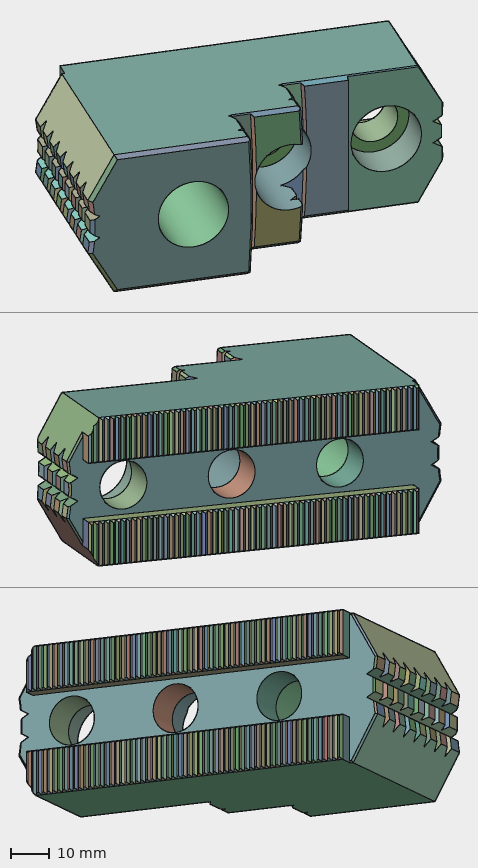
import cadquery as cq
import math

depth = 54.0
length = 103.8
height = 40.0
half_length = length / 2
half_height = height / 2
clearance = 10.4

back_x = 4.9
grip_half_height = 7.7
grip_radius = 46.7
bevel_angle = math.radians(30)
bevel_inset = (half_height - grip_half_height) * math.tan(bevel_angle)
grip_axis_y = half_length + math.sqrt(grip_radius**2 - grip_half_height**2)
back_chamfer = 0.5
front_chamfer = 1.0

long_vee_z = 3.1
long_vee_tip_y = 49.0
long_vee_angle = math.radians(30)
cross_vee_depth = 1.7
cross_vee_half_width = 1.2
near_vee_start, near_vee_end, near_vee_count = 11.0, 47.0, 7
cross_vee_pitch = (near_vee_end - near_vee_start) / (near_vee_count - 1)
far_vee_start, far_vee_count = 10.0, 3

outer_wall_x = 41.1
inner_wall_x = 28.1
outer_step_y = -7.5
inner_step_y = 10.0
crown_radius = 280.3
step_chamfer = 0.67
step_corner = 0.6
ramp_run = 3.3
ramp_drop = 1.9
wall_relief = 0.7
relief_height = 3.9
step_vee_setback = 5.1
step_vee_depth = 1.8
step_vee_half_width = 0.9
upper_relief_y = 25.9
end_corner_x, end_corner_y = 0.8, 0.5

rail_inner_z = 7.9
rail_chamfer_x, rail_chamfer_z = 0.9, 0.5
rail_far_y = 47.5
rail_near_y = -44.0
root_count = 62
serration_pitch = (rail_far_y - rail_near_y) / (root_count - 1)
serration_tip = 0.4
serration_angle = math.radians(30)
serration_half_width = (serration_pitch - serration_tip) / 2
serration_depth = serration_half_width / math.tan(serration_angle)

hole_diameter = 13.0
counterbore_diameter = 19.0
counterbore_floor_x = 16.0
hole_pitch = 30.0
middle_hole_y = 6.3


def end_section(start_x, end_x):
    """Block cross-section in the YZ plane, extruded along X."""
    shoulder_y = half_length - bevel_inset
    grip_middle_y = grip_axis_y - grip_radius
    return (
        cq.Workplane("YZ", origin=(start_x, 0, 0))
        .moveTo(-shoulder_y, half_height)
        .lineTo(shoulder_y, half_height)
        .lineTo(half_length, grip_half_height)
        .threePointArc((grip_middle_y, 0), (half_length, -grip_half_height))
        .lineTo(shoulder_y, -half_height)
        .lineTo(-shoulder_y, -half_height)
        .lineTo(-half_length, -grip_half_height)
        .threePointArc((-grip_middle_y, 0), (-half_length, grip_half_height))
        .close()
        .extrude(end_x - start_x)
    )


def step_cutter(wall_x, edge_x, face_y):
    """Space in front of one step, turned about an axis along X so that the face is crowned."""
    relief_x = wall_x - wall_relief
    vee_x = edge_x - step_vee_setback
    outer_x = depth + clearance
    profile = [
        (relief_x, -ramp_drop),
        (relief_x + ramp_run, 0),
        (vee_x - step_vee_half_width, 0),
        (vee_x, -step_vee_depth),
        (vee_x + step_vee_half_width, 0),
        (edge_x - step_corner, 0),
        (edge_x, -step_corner),
        (outer_x, -step_corner),
        (outer_x, length),
        (wall_x, length),
        (wall_x, relief_height + wall_relief),
        (relief_x, relief_height),
    ]
    axis_y = face_y - crown_radius
    return (
        cq.Workplane("XY")
        .polyline([(x, face_y + offset) for x, offset in profile])
        .close()
        .revolve(360, (0, axis_y, 0), (1, axis_y, 0))
    )


def both_sides(solid):
    """The solid together with its mirror image below the middle plane."""
    return solid.union(solid.mirror("XY"))


def wall_chamfer(wall_x, face_y):
    """45 degree chamfer along the top and bottom edges of a step wall."""
    start_y = face_y - ramp_drop
    wedge = (
        cq.Workplane("XZ", origin=(0, start_y, 0))
        .polyline([
            (wall_x - front_chamfer, half_height),
            (wall_x, half_height),
            (wall_x, half_height - front_chamfer),
        ])
        .close()
        .extrude(start_y - half_length)
    )
    return both_sides(wedge)


def face_chamfer(wall_x, edge_x, face_y):
    """45 degree chamfer along the top and bottom edges of a crowned step face."""
    crown_z = half_height - step_chamfer
    crown_y = face_y - crown_radius + math.sqrt(crown_radius**2 - crown_z**2)
    wedge = (
        cq.Workplane("YZ", origin=(wall_x, 0, 0))
        .polyline([
            (crown_y - step_chamfer, half_height),
            (crown_y + step_chamfer, half_height),
            (crown_y + step_chamfer, half_height - 2 * step_chamfer),
        ])
        .close()
        .extrude(edge_x - wall_x)
    )
    return both_sides(wedge)


def long_vees(side):
    """Two straight vees along X in the end face on the given side of Y."""
    mouth_y = half_length + clearance
    half_width = (mouth_y - long_vee_tip_y) * math.tan(long_vee_angle)
    vee = (
        cq.Workplane("YZ")
        .polyline([
            (side * long_vee_tip_y, long_vee_z),
            (side * mouth_y, long_vee_z + half_width),
            (side * mouth_y, long_vee_z - half_width),
        ])
        .close()
        .extrude(depth + clearance)
    )
    return both_sides(vee)


def cross_vee(side, x):
    """One vee that follows the concave arc of an end face."""
    surface_y = grip_axis_y - grip_radius
    mouth = 2.0
    mouth_y = surface_y + (mouth - 1) * cross_vee_depth
    mouth_half_width = mouth * cross_vee_half_width
    return (
        cq.Workplane("XY")
        .polyline([
            (x, side * (surface_y - cross_vee_depth)),
            (x + mouth_half_width, side * mouth_y),
            (x - mouth_half_width, side * mouth_y),
        ])
        .close()
        .revolve(360, (0, side * grip_axis_y, 0), (1, side * grip_axis_y, 0))
    )


def serrated_rails():
    """Two rails along Y with vee serrations and chamfered long edges."""
    root_x = back_x + back_chamfer
    rail_section = (
        cq.Workplane("XZ", origin=(0, rail_far_y, 0))
        .polyline([
            (root_x, rail_inner_z),
            (rail_chamfer_x, rail_inner_z),
            (0, rail_inner_z + rail_chamfer_z),
            (0, half_height - rail_chamfer_z),
            (rail_chamfer_x, half_height),
            (root_x, half_height),
        ])
        .close()
        .extrude(rail_far_y - rail_near_y)
    )
    comb_back_x = -1.0
    comb = cq.Workplane("XY", origin=(0, 0, rail_inner_z))
    comb = comb.moveTo(comb_back_x, rail_far_y + serration_half_width)
    for index in range(root_count):
        root_y = rail_far_y - index * serration_pitch
        comb = comb.lineTo(0, root_y + serration_half_width)
        comb = comb.lineTo(serration_depth, root_y)
        comb = comb.lineTo(0, root_y - serration_half_width)
    comb = comb.lineTo(comb_back_x, rail_near_y - serration_half_width).close().extrude(half_height)
    return both_sides(rail_section.cut(comb)).intersect(end_section(0, root_x))


def screw_hole(y):
    """Through hole along X with a counterbore open towards +X."""
    plane = cq.Workplane("YZ", origin=(0, y, 0))
    hole = plane.circle(hole_diameter / 2).extrude(depth)
    counterbore = (
        plane.workplane(offset=counterbore_floor_x)
        .circle(counterbore_diameter / 2)
        .extrude(depth - counterbore_floor_x)
    )
    return hole.union(counterbore)


body = end_section(back_x, depth)
body = body.faces("<X").chamfer(back_chamfer).faces(">X").chamfer(front_chamfer)

for wall_x, edge_x, face_y in (
    (outer_wall_x, depth, outer_step_y),
    (inner_wall_x, outer_wall_x, inner_step_y),
):
    body = body.cut(step_cutter(wall_x, edge_x, face_y))
    body = body.cut(wall_chamfer(wall_x, face_y))
    body = body.cut(face_chamfer(wall_x, edge_x, face_y))

upper_wall_x = inner_wall_x - wall_relief
upper_relief = (
    cq.Workplane("XY", origin=(0, 0, -half_height))
    .polyline([
        (upper_wall_x, upper_relief_y),
        (depth, upper_relief_y),
        (depth, half_length),
        (upper_wall_x - end_corner_x, half_length),
        (upper_wall_x, half_length - end_corner_y),
    ])
    .close()
    .extrude(height)
)
body = body.cut(upper_relief)

for side, start_x, count in (
    (-1, near_vee_start, near_vee_count),
    (1, far_vee_start, far_vee_count),
):
    body = body.cut(long_vees(side))
    for index in range(count):
        body = body.cut(cross_vee(side, start_x + index * cross_vee_pitch))

body = body.union(serrated_rails())

for index in (-1, 0, 1):
    body = body.cut(screw_hole(middle_hole_y + index * hole_pitch))

result = body